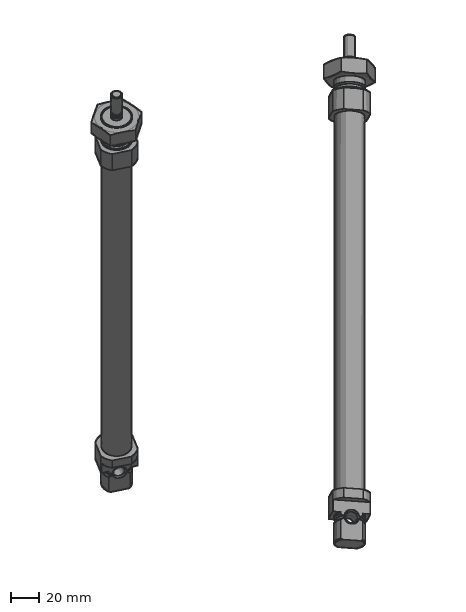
import cadquery as cq
import math

total_length = 382.0

block_flats = 27.0
block_corner_diameter = 30.5
front_block_bottom = 321.5
front_block_top = 337.5
rear_block_bottom = 20.5
rear_block_full_bottom = 29.5
rear_block_top = 36.5

tube_diameter = 21.5

collar_diameter = 22.0
collar_chamfer = 0.8
undercut_diameter = 20.0
undercut_width = 4.2
undercut_offset = 1.5

tongue_thickness = 15.5
cross_hole_diameter = 8.5
cross_hole_height = 17.5
cross_hole_chamfer = 1.0

nut_flats = 32.0
nut_thickness = 12.0
nut_top = 360.0
nut_bottom = nut_top - nut_thickness
nut_chamfer_diameter = 31.5
nut_chamfer_height = 0.8

rod_diameter = 8.0
rod_tip_chamfer = 0.8
rod_undercut_diameter = 6.5
rod_undercut_top = 365.2
rod_undercut_height = 3.0
rod_bottom = front_block_bottom


def cylinder(diameter, bottom, top):
    return cq.Workplane("XY").workplane(offset=bottom).circle(diameter / 2).extrude(top - bottom)


def square_block(bottom, top):
    square = cq.Workplane("XY").workplane(offset=bottom).rect(block_flats, block_flats).extrude(top - bottom)
    return square.intersect(cylinder(block_corner_diameter, bottom, top))


def tapered_undercut(outer_diameter, floor_diameter, bottom, width):
    """Ring to cut away, with 45 degree flanks that narrow towards the groove floor."""
    outer = outer_diameter / 2
    floor = floor_diameter / 2
    flank = outer - floor
    profile = [
        (outer, bottom),
        (floor, bottom + flank),
        (floor, bottom + width - flank),
        (outer, bottom + width),
    ]
    return cq.Workplane("XZ").polyline(profile).close().revolve(360, (0, 0), (0, 1))


def collar_undercut(bottom):
    return tapered_undercut(collar_diameter, undercut_diameter, bottom, undercut_width)


def rear_end():
    collar = cylinder(collar_diameter, 0, rear_block_bottom).faces("<Z").chamfer(collar_chamfer)
    collar = collar.cut(collar_undercut(rear_block_bottom - undercut_offset - undercut_width))
    end = collar.union(square_block(rear_block_bottom, rear_block_full_bottom))
    tongue = cq.Workplane("XY").rect(tongue_thickness, block_corner_diameter).extrude(rear_block_full_bottom)
    end = end.intersect(tongue)
    return end.union(square_block(rear_block_full_bottom, rear_block_top))


def cross_hole():
    half = tongue_thickness / 2
    radius = cross_hole_diameter / 2
    profile = [
        (0, 0),
        (half, 0),
        (half, radius + cross_hole_chamfer),
        (half - cross_hole_chamfer, radius),
        (0, radius),
    ]
    half_hole = cq.Workplane("XZ").polyline(profile).close().revolve(360, (0, 0), (1, 0))
    return half_hole.union(half_hole.mirror("YZ")).translate((0, 0, cross_hole_height))


def front_end():
    collar = cylinder(collar_diameter, front_block_top, nut_top).faces(">Z").chamfer(collar_chamfer)
    collar = collar.cut(collar_undercut(front_block_top + undercut_offset))
    return collar.union(square_block(front_block_bottom, front_block_top))


def make_housing():
    tube = cylinder(tube_diameter, rear_block_top, front_block_bottom)
    housing = rear_end().cut(cross_hole()).union(tube).union(front_end())
    return housing.cut(cylinder(rod_diameter, rod_bottom, nut_top))


def make_rod():
    rod = cylinder(rod_diameter, rod_bottom, total_length).faces(">Z").chamfer(rod_tip_chamfer)
    undercut_bottom = rod_undercut_top - rod_undercut_height
    undercut = tapered_undercut(rod_diameter, rod_undercut_diameter, undercut_bottom, rod_undercut_height)
    return rod.cut(undercut)


def make_nut():
    blank = cq.Workplane("XY").workplane(offset=nut_bottom)
    hexagon = blank.polygon(6, nut_flats, circumscribed=True).extrude(nut_thickness)
    corner_diameter = nut_flats / math.cos(math.radians(30))
    bevel_width = (corner_diameter - nut_chamfer_diameter) / 2
    envelope = cylinder(corner_diameter, nut_bottom, nut_top)
    envelope = envelope.faces("<Z or >Z").chamfer(nut_chamfer_height, bevel_width)
    hexagon = hexagon.intersect(envelope)
    return hexagon.cut(cylinder(collar_diameter, nut_bottom, nut_top))


housing = make_housing()
rod = make_rod()
nut = make_nut()
result = cq.Compound.makeCompound([housing.val(), rod.val(), nut.val()])